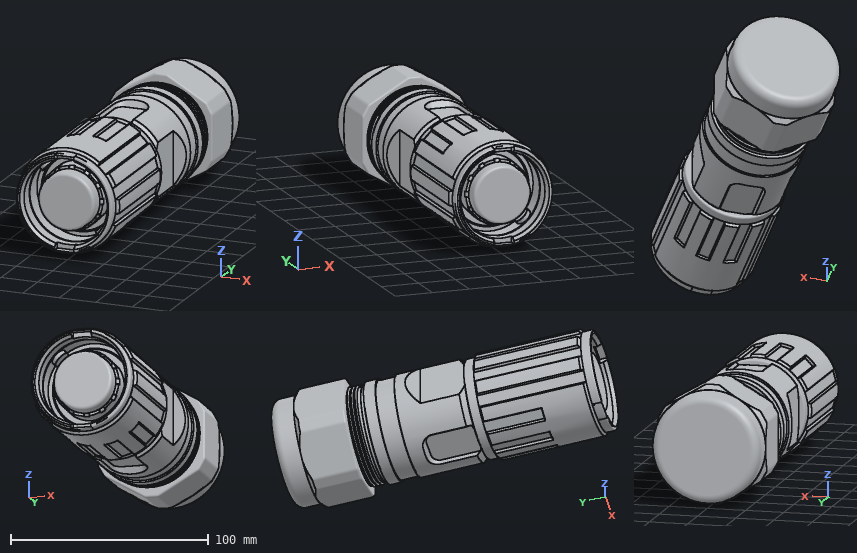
import cadquery as cq
import math

LENGTH = 168.9

CUT_MARGIN = 1.7

CAP_R = 28.46
CAP_ROUND = 4.7
HEX_FLATS = 2 * CAP_R
HEX_CORNER_FLATS = 61.8
HEX_START = 129.0
HEX_END = 155.9
HEX_CHAMFER = 2.4
HEX_EDGE_ROUND = 3.2
HEX_REAR_ROUND = 1.2

THREAD_START = 121.5
THREAD_R = 26.2
THREAD_ROOT_R = 24.8
THREAD_PITCH = 2.0
THREAD_RIDGE_WIDTH = 1.9
THREAD_OVERLAP = 0.2
THREAD_START_ANGLE = 147.0
NECK_R = 25.2

BODY_R = 27.0
BODY_GROOVE_R = 26.0
BODY_END = 119.4
BODY_GROOVE_END = 113.2
BODY_GROOVE_START = 103.2
BODY_TAPER_START = 70.1
BODY_START = 66.9
BODY_NOSE_R = 23.8

FLAT_DISTANCE = 22.72
FLAT_END = 90.5
FLAT_RUNOUT_END = 97.5

PANEL_FLOOR_R = 24.8
PANEL_WIDTH = 16.9
PANEL_END = 92.9
PANEL_CORNER_R = 4.4
PANEL_FLARE = 1.2

NUT_COLLAR_R = 26.3
NUT_R = 27.9
NUT_GRIP_START = 4.9
NUT_GRIP_END = 61.5
NUT_FRONT_CHAMFER = 1.4
NUT_REAR_CHAMFER = 0.8
NUT_EDGE_ROUND = 1.0

GROOVE_COUNT = 12
GROOVE_FLOOR = 26.26
GROOVE_FLOOR_WIDTH = 5.7
GROOVE_FLARE_ANGLE = 30.0
SHORT_GROOVE_START = 30.2
SHORT_GROOVE_AXIS = 105.0
SHORT_GROOVE_GROUP = 3

SOCKET_MOUTH_R = 24.3
SOCKET_R = 22.8
SOCKET_TAPER_END = 2.2
SOCKET_UNDERCUT_R = 23.1
SOCKET_UNDERCUT_START = 10.0
SOCKET_DEPTH = 20.3
KEYWAY_WIDTH = 10.5
KEYWAY_R = NUT_COLLAR_R - NUT_EDGE_ROUND
KEYWAY_DEPTH = 4.0
FLOOR_RING_R = 20.8
FLOOR_RING_WIDTH = 0.5
FLOOR_RING_DEPTH = 0.8

INSERT_R = 15.5
INSERT_FRONT = 2.7
INSERT_ROUND = 1.9
INSERT_RING_R = 17.0
INSERT_RING_FRONT = 10.1
INSERT_RING_FLAT = 16.64
INSERT_RAMP_LENGTH = 1.5
INSERT_NOTCH_COUNT = 12
INSERT_NOTCH_WIDTH = 2.9

PIN_R = 4.4
PIN_INNER_R = 20.5
PIN_Y = 15.2
PIN_ANGLES = (135.0, 315.0)


def revolved(points):
    """Solid of revolution about the Y axis from (radius, y) points."""
    return cq.Workplane("XY").polyline(points).close().revolve(360, (0, 0), (0, 1))


def prism(sketch_on, y_start, y_end):
    """Extrude a closed outline along +Y; the outline's local axes are X and -Z."""
    plane = cq.Workplane(cq.Plane((0, y_start, 0), (1, 0, 0), (0, 1, 0)))
    return sketch_on(plane).extrude(y_end - y_start)


def cylinder(radius, y_start, y_end):
    return prism(lambda plane: plane.circle(radius), y_start, y_end)


def turned_about_axis(solid, angle):
    """Turn a solid made facing +X so that it faces `angle` degrees, measured from +X toward +Z."""
    return solid.rotate((0, 0, 0), (0, 1, 0), -angle)


def hexagon(across_flats, first_flat_angle, y_start, y_end):
    corner_diameter = across_flats / math.cos(math.pi / 6)
    solid = prism(lambda plane: plane.polygon(6, corner_diameter), y_start, y_end)
    return turned_about_axis(solid, first_flat_angle + 30)


def cable_cap():
    corner_r = HEX_CORNER_FLATS / 2
    cap = cylinder(CAP_R, HEX_END - HEX_CHAMFER, LENGTH)
    cap = cap.faces(">Y").edges().fillet(CAP_ROUND)

    hex_nut = hexagon(HEX_FLATS, 0, HEX_START, HEX_END)
    hex_nut = hex_nut.intersect(hexagon(HEX_CORNER_FLATS, 30, HEX_START, HEX_END))
    hex_nut = hex_nut.edges("|Y").fillet(HEX_EDGE_ROUND)
    hex_nut = hex_nut.faces("<Y").edges().fillet(HEX_REAR_ROUND)
    envelope = revolved([
        (0, HEX_START),
        (corner_r + HEX_CHAMFER, HEX_START),
        (corner_r + HEX_CHAMFER, HEX_END - 2 * HEX_CHAMFER),
        (corner_r - HEX_CHAMFER, HEX_END),
        (0, HEX_END),
    ])
    return cap.union(hex_nut.intersect(envelope))


def gland_thread():
    """Neck with one helical V ridge, whose far end is buried in the hexagon."""
    overlap_r = THREAD_ROOT_R - THREAD_OVERLAP
    half_width = THREAD_RIDGE_WIDTH / 2
    helix = cq.Wire.makeHelix(THREAD_PITCH, HEX_START - THREAD_START, THREAD_ROOT_R)
    outline = [(overlap_r, -half_width), (overlap_r, half_width), (THREAD_R, 0)]
    ridge = cq.Workplane("XZ").polyline(outline).close().sweep(cq.Workplane(helix), isFrenet=True)
    core = (
        cq.Workplane("XY", origin=(0, 0, -half_width))
        .circle(THREAD_ROOT_R)
        .extrude(HEX_START - THREAD_START + THREAD_RIDGE_WIDTH)
    )
    thread = core.union(ridge).rotate((0, 0, 0), (1, 0, 0), -90)
    thread = turned_about_axis(thread, THREAD_START_ANGLE).translate((0, THREAD_START + half_width, 0))

    neck = revolved([(0, BODY_END), (NECK_R, BODY_END), (NECK_R, THREAD_START), (0, THREAD_START)])
    return thread.union(neck)


def wrench_flat():
    runout = (BODY_R - FLAT_DISTANCE) / (FLAT_RUNOUT_END - FLAT_END)
    beyond = BODY_R + CUT_MARGIN
    outline = [
        (FLAT_DISTANCE, BODY_START),
        (FLAT_DISTANCE, FLAT_END),
        (beyond, FLAT_END + (beyond - FLAT_DISTANCE) / runout),
        (beyond, BODY_START),
    ]
    return cq.Workplane("XY").polyline(outline).close().extrude(BODY_R, both=True)


def label_panel():
    """Cutter for one label panel: a flared pocket down to a round floor, open at the body nose."""
    half = PANEL_WIDTH / 2
    depth = BODY_R - PANEL_FLOOR_R
    floor_edge = math.sqrt(PANEL_FLOOR_R ** 2 - half ** 2)
    top = BODY_R + CUT_MARGIN
    flare = math.degrees(math.atan(PANEL_FLARE / depth))
    length = PANEL_END - BODY_START
    pocket = (
        cq.Workplane("XY", origin=(0, BODY_START, floor_edge))
        .moveTo(-half, -length)
        .lineTo(half, -length)
        .lineTo(half, length - PANEL_CORNER_R)
        .radiusArc((half - PANEL_CORNER_R, length), -PANEL_CORNER_R)
        .lineTo(-half + PANEL_CORNER_R, length)
        .radiusArc((-half, length - PANEL_CORNER_R), -PANEL_CORNER_R)
        .close()
        .extrude(top - floor_edge, taper=-flare)
    )
    return pocket.cut(cylinder(PANEL_FLOOR_R, 0, LENGTH))


def body():
    solid = revolved([
        (0, BODY_START),
        (BODY_NOSE_R, BODY_START),
        (BODY_R, BODY_TAPER_START),
        (BODY_R, BODY_GROOVE_START),
        (BODY_GROOVE_R, BODY_GROOVE_START),
        (BODY_GROOVE_R, BODY_GROOVE_END),
        (BODY_R, BODY_GROOVE_END),
        (BODY_R, BODY_END),
        (0, BODY_END),
    ])
    for angle in (0, 180):
        solid = solid.cut(turned_about_axis(wrench_flat(), angle))
        solid = solid.cut(turned_about_axis(label_panel(), angle))
    return solid


def grip_groove(start):
    """Cutter for one grip groove facing +X, with flared walls."""
    depth = NUT_R + CUT_MARGIN - GROOVE_FLOOR
    half = GROOVE_FLOOR_WIDTH / 2
    mouth_half = half + depth * math.tan(math.radians(GROOVE_FLARE_ANGLE))
    outline = [
        (GROOVE_FLOOR, -half),
        (GROOVE_FLOOR + depth, -mouth_half),
        (GROOVE_FLOOR + depth, mouth_half),
        (GROOVE_FLOOR, half),
    ]
    return prism(lambda plane: plane.polyline(outline).close(), start, NUT_GRIP_END)


def is_short_groove(angle):
    """Tell whether a groove belongs to one of the two opposite groups of short grooves."""
    offset = (angle - SHORT_GROOVE_AXIS + 90) % 180 - 90
    return abs(offset) < SHORT_GROOVE_GROUP / 2 * 360 / GROOVE_COUNT


def coupling_nut():
    nut = revolved([
        (0, 0),
        (NUT_COLLAR_R, 0),
        (NUT_COLLAR_R, NUT_GRIP_START),
        (NUT_R, NUT_GRIP_START + NUT_FRONT_CHAMFER),
        (NUT_R, NUT_GRIP_END - NUT_REAR_CHAMFER),
        (NUT_COLLAR_R, NUT_GRIP_END),
        (NUT_COLLAR_R, BODY_START),
        (0, BODY_START),
    ])
    nut = nut.faces("<Y or >Y").edges().fillet(NUT_EDGE_ROUND)
    step = 360 / GROOVE_COUNT
    for index in range(GROOVE_COUNT):
        angle = (index + 0.5) * step
        start = SHORT_GROOVE_START if is_short_groove(angle) else NUT_GRIP_START
        nut = nut.cut(turned_about_axis(grip_groove(start), angle))
    return nut


def socket():
    """Cutter for the open mating end, with keyways at +Z and -Z."""
    ring_inner = FLOOR_RING_R - FLOOR_RING_WIDTH
    cutter = revolved([
        (0, 0),
        (SOCKET_MOUTH_R, 0),
        (SOCKET_R, SOCKET_TAPER_END),
        (SOCKET_R, SOCKET_UNDERCUT_START),
        (SOCKET_UNDERCUT_R, SOCKET_UNDERCUT_START),
        (SOCKET_UNDERCUT_R, SOCKET_DEPTH),
        (FLOOR_RING_R, SOCKET_DEPTH),
        (FLOOR_RING_R, SOCKET_DEPTH + FLOOR_RING_DEPTH),
        (ring_inner, SOCKET_DEPTH + FLOOR_RING_DEPTH),
        (ring_inner, SOCKET_DEPTH),
        (0, SOCKET_DEPTH),
    ])
    keyways = prism(lambda plane: plane.rect(KEYWAY_WIDTH, 2 * KEYWAY_R), 0, KEYWAY_DEPTH)
    return cutter.union(keyways)


def insert():
    plug = cylinder(INSERT_R, INSERT_FRONT, SOCKET_DEPTH)
    plug = plug.faces("<Y").edges().fillet(INSERT_ROUND)

    ring = cylinder(INSERT_RING_R, INSERT_RING_FRONT, SOCKET_DEPTH)
    flats = prism(
        lambda plane: plane.rect(2 * INSERT_RING_FLAT, 2 * INSERT_RING_FLAT),
        INSERT_RING_FRONT,
        SOCKET_DEPTH,
    )
    flats = turned_about_axis(flats, 45)
    ring = ring.intersect(flats)
    slot = prism(
        lambda plane: plane.rect(2 * INSERT_RING_R, INSERT_NOTCH_WIDTH),
        INSERT_RING_FRONT,
        SOCKET_DEPTH,
    )
    for index in range(INSERT_NOTCH_COUNT // 2):
        ring = ring.cut(turned_about_axis(slot, index * 360 / INSERT_NOTCH_COUNT))

    ramp = revolved([
        (0, INSERT_RING_FRONT),
        (INSERT_R, INSERT_RING_FRONT),
        (INSERT_RING_R, INSERT_RING_FRONT + INSERT_RAMP_LENGTH),
        (INSERT_RING_R, SOCKET_DEPTH),
        (0, SOCKET_DEPTH),
    ])
    ramp = ramp.intersect(flats)
    return plug.union(ring).union(ramp)


def latching_pin():
    """Pin facing +X that ends halfway through the nut wall."""
    length = (SOCKET_R + NUT_COLLAR_R) / 2 - PIN_INNER_R
    return cq.Workplane("YZ", origin=(PIN_INNER_R, PIN_Y, 0)).circle(PIN_R).extrude(length)


result = coupling_nut().cut(socket()).union(insert())
for pin_angle in PIN_ANGLES:
    result = result.union(turned_about_axis(latching_pin(), pin_angle))
result = result.union(body()).union(gland_thread()).union(cable_cap())